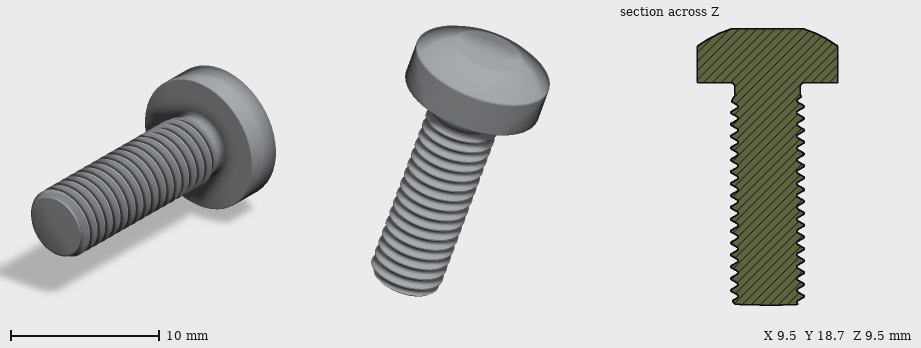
import cadquery as cq
import math

total_length = 18.7
thread_diameter = 5.0
pitch = 0.8

head_diameter = 9.5
head_height = 3.7
dome_height = 1.2
dome_flat_diameter = 4.77
rim_fillet = 0.15
underside_fillet = 0.07

neck_diameter = 4.47
neck_length = 0.79
neck_fillet = 0.2
runout_length = 0.56

tip_diameter = 4.34
tip_chamfer = 0.35
tip_dome_height = 0.05
tip_fillet = 0.15

flank_angle = math.radians(30)
groove_overrun = 0.04
thread_turns = 18
fade_start_y = -1.18
fade_turns = 1.0
fade_rise = 0.32

head_radius = head_diameter / 2
thread_radius = thread_diameter / 2
neck_radius = neck_diameter / 2
tip_radius = tip_diameter / 2
dome_flat_radius = dome_flat_diameter / 2
rim_y = head_height - dome_height
tip_y = head_height - total_length
tip_edge_y = tip_y + tip_dome_height
thread_start_y = -neck_length

triangle_height = pitch * math.sqrt(3) / 2
root_radius = triangle_height / 6
sharp_root_radius = thread_radius - triangle_height * 7 / 8


def dome_midpoint():
    """Point half way along the spherical arc from the dome flat to the rim."""
    centre_y = (head_radius**2 + rim_y**2 - dome_flat_radius**2 - head_height**2) / (2 * (rim_y - head_height))
    sphere_radius = math.hypot(dome_flat_radius, head_height - centre_y)
    middle_radius = (dome_flat_radius + head_radius) / 2
    return middle_radius, centre_y + math.sqrt(sphere_radius**2 - middle_radius**2)


def tip_dome_midpoint():
    """Point on the shallow end dome, half way out from the axis."""
    sphere_radius = (tip_radius**2 + tip_dome_height**2) / (2 * tip_dome_height)
    middle_radius = tip_radius / 2
    return middle_radius, tip_y + sphere_radius - math.sqrt(sphere_radius**2 - middle_radius**2)


def turn_about_axis(profile):
    """Revolve a closed half profile about the screw axis."""
    return profile.revolve(360, (0, 0, 0), (0, 1, 0))


def make_head():
    """Cylindrical head with a spherical crown and rounded edges."""
    profile = (
        cq.Workplane("XY")
        .moveTo(0, head_height)
        .lineTo(dome_flat_radius, head_height)
        .threePointArc(dome_midpoint(), (head_radius, rim_y))
        .lineTo(head_radius, 0)
        .lineTo(0, 0)
        .close()
    )
    rim_circles = cq.selectors.RadiusNthSelector(-2)
    head = turn_about_axis(profile)
    head = head.edges(rim_circles).edges(">Y").fillet(rim_fillet)
    return head.faces("<Y").edges().fillet(underside_fillet)


def make_neck():
    """Plain neck, flared by a fillet where it meets the head."""
    fillet_offset = neck_fillet * (1 - math.sqrt(0.5))
    profile = (
        cq.Workplane("XY")
        .moveTo(0, 0)
        .lineTo(neck_radius + neck_fillet, 0)
        .threePointArc((neck_radius + fillet_offset, -fillet_offset), (neck_radius, -neck_fillet))
        .lineTo(neck_radius, thread_start_y)
        .lineTo(0, thread_start_y)
        .close()
    )
    return turn_about_axis(profile)


def make_shank_envelope():
    """Outer limit of the threaded shank: run-out cone, crest cylinder, tip chamfer and end dome."""
    profile = (
        cq.Workplane("XY")
        .moveTo(0, thread_start_y)
        .lineTo(neck_radius, thread_start_y)
        .lineTo(thread_radius, thread_start_y - runout_length)
        .lineTo(thread_radius, tip_edge_y + tip_chamfer)
        .lineTo(tip_radius, tip_edge_y)
        .threePointArc(tip_dome_midpoint(), (0, tip_y))
        .close()
    )
    smallest_circle = cq.selectors.RadiusNthSelector(0)
    return turn_about_axis(profile).edges(smallest_circle).fillet(tip_fillet)


def groove_section(path, start_y):
    """Thread groove profile in the axial plane at +X, swept along a helix about Z."""
    outer_radius = thread_radius + groove_overrun
    outer_half_width = (outer_radius - sharp_root_radius) * math.tan(flank_angle)
    arc_radius_x = sharp_root_radius + 1.5 * root_radius
    arc_half_width = root_radius * math.cos(flank_angle)
    bottom_radius = sharp_root_radius + root_radius
    section = (
        cq.Workplane("XZ")
        .moveTo(outer_radius, -outer_half_width)
        .lineTo(arc_radius_x, -arc_half_width)
        .threePointArc((bottom_radius, 0), (arc_radius_x, arc_half_width))
        .lineTo(outer_radius, outer_half_width)
        .close()
    )
    groove = section.sweep(cq.Workplane(path), isFrenet=True)
    return groove.rotate((0, 0, 0), (1, 0, 0), -90).translate((0, start_y, 0))


def make_thread_groove():
    """Full-depth groove from beyond the tip up to the run-out."""
    length = thread_turns * pitch
    path = cq.Wire.makeHelix(pitch, length, sharp_root_radius)
    return groove_section(path, fade_start_y - length)


def make_fade_groove():
    """Last turn, where the groove rises out of the shank along a cone."""
    cone_angle = math.atan(fade_rise / (fade_turns * pitch))
    slant_pitch = pitch / math.cos(cone_angle)
    path = cq.Wire.makeHelix(
        slant_pitch, fade_turns * slant_pitch, sharp_root_radius, angle=math.degrees(cone_angle)
    )
    return groove_section(path, fade_start_y)


def make_shank():
    """Threaded rod, longer than needed at both ends, trimmed to the shank envelope."""
    rod_start_y = thread_start_y + pitch
    rod_length = rod_start_y - tip_y + 2 * pitch
    rod = cq.Workplane("XZ", origin=(0, rod_start_y, 0)).circle(thread_radius).extrude(rod_length)
    threaded_rod = rod.cut(make_thread_groove()).cut(make_fade_groove())
    return threaded_rod.intersect(make_shank_envelope())


result = make_head().union(make_neck()).union(make_shank())